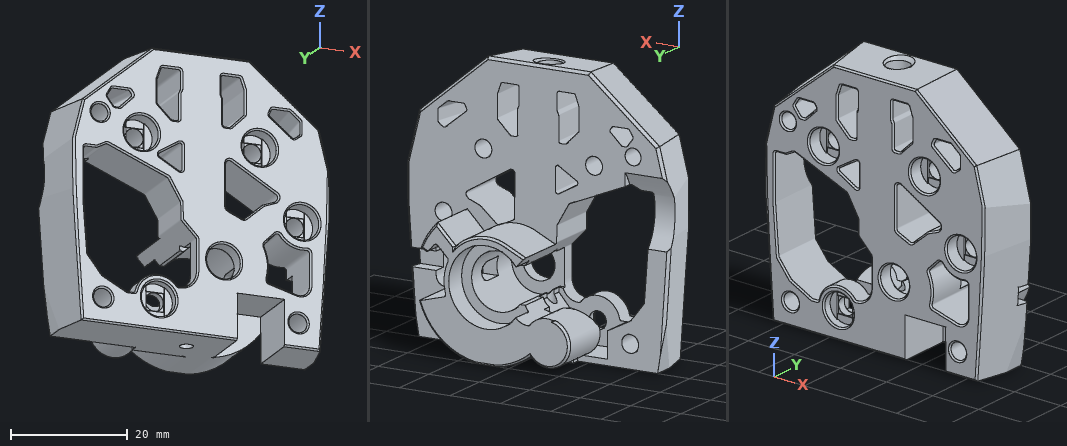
import cadquery as cq
import math

PLATE_DEPTH = 10.55
BACK_CHAMFER = 0.5
FRONT_CHAMFER = 0.3
FLARE_DEPTH = PLATE_DEPTH - BACK_CHAMFER
FRONT_HALF_OUTLINE = [(9.0, 50.7), (21.9, 39.85), (23.75, 32.55), (23.75, 23.5), (22.15, 0.0)]
HALF_FLARES = [0.95, 1.45, 1.9, 2.4, 2.35, 0.0]
SKIRT_FOOT = (23.65, 0.0)
SKIRT_TOP = (25.8, 13.05)
SKIRT_OUTSIDE = 28.7

TOTAL_DEPTH = 21.0
HOUSING_CHAMFER = 0.4
GEAR_X = 4.25
GEAR_Z = 13.95
DISC_RADIUS = 14.1
RING_RADIUS = 8.9
DISC_TOP = 17.2
ARM_OUTLINE = [(10.45, 20.35), (15.15, 25.15), (20.9, 20.9), (10.45, 15.65)]
SHOULDER_OUTLINE = [(-6.8, 18.55), (0.35, 21.95), (4.25, 13.95)]
POST_X = -7.85
POST_Z = 5.65
POST_RADIUS = 4.45
GEAR_HOLE_RADIUS = 3.15
FRONT_BORE_RADIUS = 5.45
REAR_BORE_RADIUS = 7.4
BORE_STEP_Y = 16.6
BORE_MOUTH_HALF = 3.5
BORE_START_Y = 3.05

WEB_DEPTH = 3.75
CAVITY_OUTLINE = [(-13.65, 1.2), (-3.7, 1.2), (-3.7, 5.5), (-0.15, 9.6), (-0.15, 10.45), (-13.65, 10.45)]
RAMP_X = (-12.5, -2.2)
RAMP_FOOT = (PLATE_DEPTH, 6.8)
RAMP_TOP = (13.05, 9.9)
RAMP_CEILING = 10.45

FOOT_X = (-7.85, 2.6)
FOOT_BACK = 12.0
FOOT_HEIGHT = 3.15

HEAD_RADIUS = 3.2
HEAD_DEPTH = 3.05
POST_HEAD_DEPTH = 1.8
SCREW_RADIUS = 1.65
BRIDGE_WIDTH = 3.4
BRIDGE_STEP = 0.2
THROUGH_SCREWS = [(-11.05, 35.2), (10.85, 35.2), (18.75, 22.85)]
PLAIN_HOLES = [(-18.8, 37.85, 1.55), (-18.2, 4.55, 1.65), (18.05, 4.55, 1.65)]

WINDOW_CORNER_RADIUS = 0.4
LEFT_WINDOW_CORNER = (-0.8, 8.3)
LEFT_WINDOW_CORNER_RADIUS = 3.25
LEFT_WINDOW = [
    (-21.7, 31.45), (-19.3, 31.45), (-17.5, 32.4), (-6.1, 27.7), (-3.7, 23.55), (-3.65, 20.4), (-0.8, 17.45),
    LEFT_WINDOW_CORNER, (-7.85, 8.3), (-7.85, 6.2),
    (-13.65, 6.2), (-18.25, 8.6), (-21.0, 12.1), (-21.7, 21.9),
]
SMALL_TRIANGLE = [(-8.25, 31.65), (-3.45, 34.55), (-3.45, 28.85)]
LARGE_TRIANGLE = [(4.65, 32.8), (14.6, 26.9), (13.85, 25.9), (11.5, 25.0), (7.95, 21.9), (4.65, 23.45)]
LARGE_TRIANGLE_RADIUS = 0.7
UPPER_SLOT = [
    (3.75, 47.45), (7.3, 47.45), (8.1, 45.2), (8.1, 40.8),
    (5.45, 38.2), (4.05, 38.2), (4.05, 43.2), (3.75, 43.9),
]
RIGHT_WINDOW_CORNER = (20.2, 9.0)
RIGHT_WINDOW_CORNER_RADIUS = 1.9
RIGHT_WINDOW_TIP_RADIUS = 0.6
RIGHT_WINDOW = [(10.45, 16.65), (15.15, 21.35), (20.2, 21.35), RIGHT_WINDOW_CORNER, (11.95, 11.25)]
RIGHT_WINDOW_GEAR_RADIUS = 8.35
RIGHT_WINDOW_SCREW_RADIUS = 5.0
LEFT_VENT = [(-16.5, 42.55), (-13.25, 42.55), (-12.65, 41.65), (-15.15, 39.25), (-16.1, 39.25), (-17.45, 41.0)]
RIGHT_VENT = [(13.15, 42.55), (16.45, 42.55), (18.35, 40.9), (18.35, 38.5), (17.15, 37.65), (12.6, 41.35)]
VENT_SHIFT = (1.45, 0.15)

NOTCH_LEFT = 6.7
NOTCH_RIGHT = 15.45
NOTCH_HEIGHT = 8.45

FILAMENT_Y = 6.6
FILAMENT_RADIUS = 1.2
SOCKET_RADIUS = 2.25
SOCKET_DEPTH = 7.3
SOCKET_RIM_Z = 50.85
SOCKET_RIM_HEIGHT = 1.25

SLOT_FRONT = 8.0
SLOT_BACK = 13.15
SLOT_HEIGHT = 3.45
SLOT_ROUNDING = 1.65
SCOOP_RADIUS = 9.9
SCOOP_DEPTH = 2.4
SCOOP_Z = 28.35
SCOOP_INNER_X = -17.2
REACH = 31.3


def prism(points, y_start, y_end):
    """Straight prism along Y from an (x, z) outline."""
    return cq.Workplane("XZ", origin=(0, y_start, 0)).polyline(points).close().extrude(y_start - y_end)


def rod(x, z, radius, y_start, y_end):
    """Cylinder along Y."""
    return cq.Workplane("XZ", origin=(x, y_start, z)).circle(radius).extrude(y_start - y_end)


def block(x_range, y_range, z_range):
    """Axis-aligned box from its limits."""
    size = [high - low for low, high in (x_range, y_range, z_range)]
    return cq.Workplane().box(*size, centered=False).translate((x_range[0], y_range[0], z_range[0]))


def mirrored(points):
    return [(-x, z) for x, z in points]


def offset_outline(points, offsets):
    """Move every edge of a clockwise outline outward by its own offset and re-intersect neighbours.

    Edge i runs from point i - 1 to point i.
    """
    lines = []
    for i, (x, z) in enumerate(points):
        x_before, z_before = points[i - 1]
        length = math.hypot(x - x_before, z - z_before)
        normal_x = (z_before - z) / length
        normal_z = (x - x_before) / length
        lines.append((normal_x, normal_z, normal_x * x + normal_z * z + offsets[i]))
    corners = []
    for i, (ax, az, a) in enumerate(lines):
        bx, bz, b = lines[(i + 1) % len(lines)]
        det = ax * bz - az * bx
        corners.append(((a * bz - az * b) / det, (ax * b - a * bx) / det))
    return corners


def plate_body():
    outline = mirrored(FRONT_HALF_OUTLINE[:1]) + FRONT_HALF_OUTLINE + mirrored(FRONT_HALF_OUTLINE[:0:-1])
    sides = HALF_FLARES[1:-1]
    flares = sides[:1] + HALF_FLARES + sides[:0:-1]

    def section(y, inset):
        offsets = [flare * min(y, FLARE_DEPTH) / FLARE_DEPTH - (inset if flare else 0) for flare in flares]
        corners = [cq.Vector(x, y, z) for x, z in offset_outline(outline, offsets)]
        return cq.Wire.makePolygon(corners, close=True)

    flared = cq.Solid.makeLoft([section(0, 0), section(FLARE_DEPTH, 0)], True)
    rim = cq.Solid.makeLoft([section(FLARE_DEPTH, 0), section(PLATE_DEPTH, BACK_CHAMFER)], True)
    body = cq.Workplane(flared).union(cq.Workplane(rim))
    for side in (-1, 1):
        corner = [SKIRT_FOOT, SKIRT_TOP, (SKIRT_OUTSIDE, SKIRT_TOP[1]), (SKIRT_OUTSIDE, SKIRT_FOOT[1])]
        body = body.cut(prism([(side * x, z) for x, z in corner], 0, PLATE_DEPTH))
    return body


def round_corners(opening, wide_corner, wide_radius, radius):
    """Round the upright edges of an opening, one of them more widely than the others."""
    wide = cq.selectors.NearestToPointSelector((wide_corner[0], TOTAL_DEPTH / 2, wide_corner[1]))
    upright = cq.selectors.ParallelDirSelector(cq.Vector(0, 1, 0))
    return opening.edges(upright - wide).fillet(radius).edges(upright).edges(wide).fillet(wide_radius)


def window_cutters():
    """Through windows, as long as the whole part is deep."""
    def opening(points):
        return prism(points, 0, TOTAL_DEPTH)

    left = opening(LEFT_WINDOW).cut(rod(POST_X, POST_Z, POST_RADIUS, 0, TOTAL_DEPTH))
    right = opening(RIGHT_WINDOW).cut(rod(GEAR_X, GEAR_Z, RIGHT_WINDOW_GEAR_RADIUS, 0, TOTAL_DEPTH))
    screw_x, screw_z = THROUGH_SCREWS[-1]
    right = right.cut(rod(screw_x, screw_z, RIGHT_WINDOW_SCREW_RADIUS, 0, TOTAL_DEPTH))
    return [
        round_corners(left, LEFT_WINDOW_CORNER, LEFT_WINDOW_CORNER_RADIUS, WINDOW_CORNER_RADIUS),
        round_corners(right, RIGHT_WINDOW_CORNER, RIGHT_WINDOW_CORNER_RADIUS, RIGHT_WINDOW_TIP_RADIUS),
        opening(SMALL_TRIANGLE).edges("|Y").fillet(WINDOW_CORNER_RADIUS),
        opening(LARGE_TRIANGLE).edges("|Y").fillet(LARGE_TRIANGLE_RADIUS),
        opening(UPPER_SLOT).edges("|Y").fillet(WINDOW_CORNER_RADIUS),
        opening(mirrored(UPPER_SLOT)).edges("|Y").fillet(WINDOW_CORNER_RADIUS),
    ]


def vent(points, shift_x, shift_z):
    """Vent leaning sideways and up towards the back."""
    outline = cq.Wire.makePolygon([cq.Vector(x, 0, z) for x, z in points], close=True)
    lean = cq.Vector(shift_x, PLATE_DEPTH, shift_z)
    opening = cq.Workplane(cq.Solid.extrudeLinear(outline, [], lean))
    return opening.edges(cq.selectors.ParallelDirSelector(lean)).fillet(WINDOW_CORNER_RADIUS)


def rear_piece(shape):
    """Chamfer the rear rim of one convex piece of the housing."""
    return shape.faces(">Y").edges().chamfer(HOUSING_CHAMFER)


def housing():
    """Disc with a flat foot, a raised ring around the gear, a shoulder, an arm and a screw post."""
    disc = rear_piece(rod(GEAR_X, GEAR_Z, DISC_RADIUS, PLATE_DEPTH, TOTAL_DEPTH))
    lower_limit = rear_piece(block((-REACH, REACH), (0, TOTAL_DEPTH), (0, DISC_TOP)))
    arm_limit = rear_piece(prism(ARM_OUTLINE, PLATE_DEPTH, TOTAL_DEPTH))
    body = disc.intersect(lower_limit).union(disc.intersect(arm_limit))
    body = body.union(rear_piece(prism(SHOULDER_OUTLINE, PLATE_DEPTH, TOTAL_DEPTH)))
    for x, z, radius in ((GEAR_X, GEAR_Z, RING_RADIUS), (POST_X, POST_Z, POST_RADIUS)):
        body = body.union(rear_piece(rod(x, z, radius, PLATE_DEPTH, TOTAL_DEPTH)))
    return body.union(block(FOOT_X, (PLATE_DEPTH, FOOT_BACK), (0, FOOT_HEIGHT)))


def bridged_screw(x, z, head_depth, end):
    """Screw hole whose counterbore steps down through a slit and a square to the round hole."""
    half = BRIDGE_WIDTH / 2
    slit_depth = head_depth + BRIDGE_STEP
    square_depth = slit_depth + BRIDGE_STEP
    slit = block((x - half, x + half), (0, slit_depth), (z - HEAD_RADIUS, z + HEAD_RADIUS))
    slit = slit.intersect(rod(x, z, HEAD_RADIUS, 0, slit_depth))
    square = block((x - half, x + half), (0, square_depth), (z - half, z + half))
    head = rod(x, z, HEAD_RADIUS, 0, head_depth)
    return head.union(slit).union(square).union(rod(x, z, SCREW_RADIUS, 0, end))


def gear_bores():
    front = rod(GEAR_X, GEAR_Z, FRONT_BORE_RADIUS, BORE_START_Y, BORE_STEP_Y)
    rear = rod(GEAR_X, GEAR_Z, REAR_BORE_RADIUS, BORE_STEP_Y, TOTAL_DEPTH)
    mouth = block((GEAR_X - FRONT_BORE_RADIUS, GEAR_X), (BORE_START_Y, BORE_STEP_Y),
                  (GEAR_Z - BORE_MOUTH_HALF, GEAR_Z + BORE_MOUTH_HALF))
    return front.union(rear).union(mouth)


def foot_cavity():
    """Space behind the web, ending in a ramp on the rear post."""
    space = prism(CAVITY_OUTLINE, WEB_DEPTH, PLATE_DEPTH)
    side = [RAMP_FOOT, RAMP_TOP, (RAMP_TOP[0], RAMP_CEILING), (RAMP_FOOT[0], RAMP_CEILING)]
    ramp = cq.Workplane("YZ", origin=(RAMP_X[0], 0, 0)).polyline(side).close().extrude(RAMP_X[1] - RAMP_X[0])
    return space.union(ramp)


def shaft_slot():
    slot = block((LEFT_WINDOW_CORNER[0], REACH), (SLOT_FRONT, SLOT_BACK),
                 (GEAR_Z - SLOT_HEIGHT / 2, GEAR_Z + SLOT_HEIGHT / 2))
    return slot.edges("|X and >Y").fillet(SLOT_ROUNDING)


def filament_path():
    """Axial hole from the top with a chamfered, cone-bottomed socket."""
    cone_height = SOCKET_RADIUS - FILAMENT_RADIUS
    floor = SOCKET_RIM_Z - SOCKET_DEPTH
    top = SOCKET_RIM_Z + SOCKET_RIM_HEIGHT
    profile = [
        (0, 0), (FILAMENT_RADIUS, 0), (FILAMENT_RADIUS, floor - cone_height), (SOCKET_RADIUS, floor),
        (SOCKET_RADIUS, SOCKET_RIM_Z), (SOCKET_RADIUS + SOCKET_RIM_HEIGHT, top), (0, top),
    ]
    path = cq.Workplane("XZ").polyline(profile).close().revolve(360, (0, 0, 0), (0, 1, 0))
    return path.translate((0, FILAMENT_Y, 0))


def scoop():
    """Round finger scoop across the left rear edge."""
    axis_y = PLATE_DEPTH - SCOOP_DEPTH + SCOOP_RADIUS
    circle = cq.Workplane("YZ", origin=(-REACH, axis_y, SCOOP_Z)).circle(SCOOP_RADIUS)
    return circle.extrude(REACH + SCOOP_INNER_X)


plate = plate_body()
windows = window_cutters()
for window in windows:
    plate = plate.cut(window)
plate = plate.cut(vent(LEFT_VENT, -VENT_SHIFT[0], VENT_SHIFT[1]))
plate = plate.cut(vent(RIGHT_VENT, *VENT_SHIFT))
for x, z, radius in PLAIN_HOLES + [(GEAR_X, GEAR_Z, GEAR_HOLE_RADIUS)]:
    plate = plate.cut(rod(x, z, radius, 0, PLATE_DEPTH))
for x, z in THROUGH_SCREWS:
    plate = plate.cut(bridged_screw(x, z, HEAD_DEPTH, PLATE_DEPTH))
plate = plate.cut(bridged_screw(POST_X, POST_Z, POST_HEAD_DEPTH, PLATE_DEPTH))
plate = plate.faces("<Y").edges().chamfer(FRONT_CHAMFER)
plate = plate.cut(block((NOTCH_LEFT, NOTCH_RIGHT), (0, PLATE_DEPTH), (0, NOTCH_HEIGHT)))
plate = plate.cut(scoop())

rear = housing()
for window in windows[:2]:
    rear = rear.cut(window)

result = plate.union(rear)
for cutter in (gear_bores(), foot_cavity(), shaft_slot(), filament_path()):
    result = result.cut(cutter)